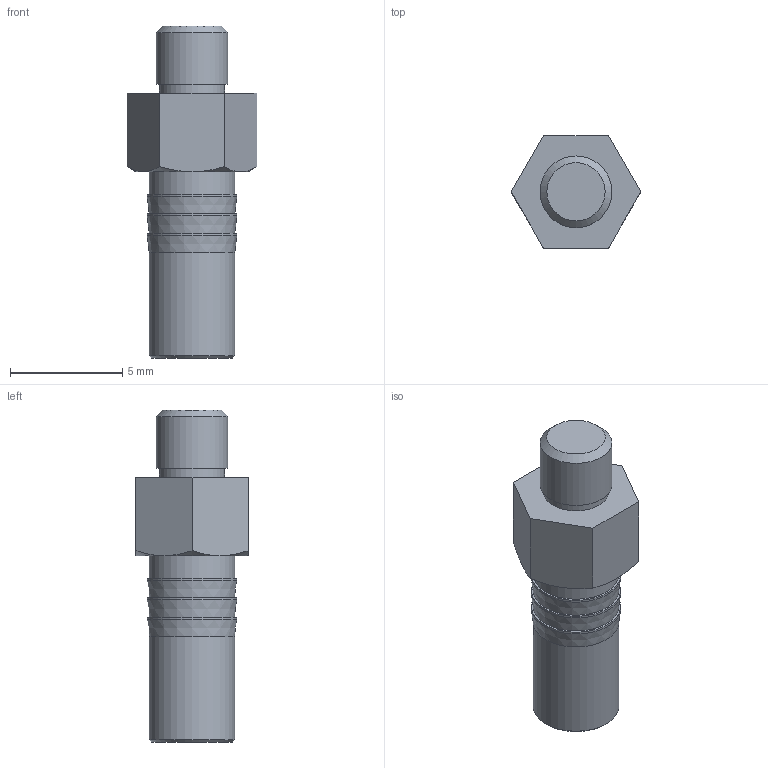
import cadquery as cq
import math

total_length = 14.81
stud_length = 3.0
hex_height = 3.5
hex_top_z = total_length - stud_length
hex_bottom_z = hex_top_z - hex_height

stud_radius = 1.6
stud_chamfer = 0.3
neck_radius = 1.45
neck_height = 0.4

across_flats = 5.006
across_corners = across_flats / math.cos(math.pi / 6)
corner_chamfer_angle = 30.0

shank_radius = 1.91
shank_chamfer = 0.1

barb_count = 3
barb_radius = 2.0
barb_pitch = 0.87
barb_land = 0.1
barb_top_z = hex_bottom_z - 1.0


def cylinder(radius, bottom_z, top_z):
    return cq.Workplane("XY").workplane(offset=bottom_z).circle(radius).extrude(top_z - bottom_z)


def make_stud():
    neck = cylinder(neck_radius, hex_top_z, hex_top_z + neck_height)
    body = cylinder(stud_radius, hex_top_z + neck_height, total_length)
    return neck.union(body.faces(">Z").edges().chamfer(stud_chamfer))


def make_hex():
    """Hexagon with corners on X, its lower corners cut back by a cone."""
    prism = (
        cq.Workplane("XY")
        .workplane(offset=hex_bottom_z)
        .polygon(6, across_corners)
        .extrude(hex_height)
    )
    corner_radius = across_corners / 2
    flat_radius = across_flats / 2
    cone_height = (corner_radius - flat_radius) * math.tan(math.radians(corner_chamfer_angle))
    envelope = (
        cq.Workplane("XZ")
        .moveTo(0, hex_bottom_z)
        .lineTo(flat_radius, hex_bottom_z)
        .lineTo(corner_radius, hex_bottom_z + cone_height)
        .lineTo(corner_radius, hex_top_z)
        .lineTo(0, hex_top_z)
        .close()
        .revolve(360, (0, 0), (0, 1))
    )
    return prism.intersect(envelope)


def make_shank():
    return cylinder(shank_radius, 0, hex_bottom_z).faces("<Z").edges().chamfer(shank_chamfer)


def make_barb(top_z):
    """Ring with a short straight band, then a taper running down into the shank."""
    land_z = top_z - barb_land
    bottom_z = top_z - barb_pitch
    return (
        cq.Workplane("XZ")
        .moveTo(0, top_z)
        .lineTo(barb_radius, top_z)
        .lineTo(barb_radius, land_z)
        .lineTo(shank_radius, bottom_z)
        .lineTo(0, bottom_z)
        .close()
        .revolve(360, (0, 0), (0, 1))
    )


result = make_shank().union(make_hex()).union(make_stud())
for index in range(barb_count):
    result = result.union(make_barb(barb_top_z - index * barb_pitch))